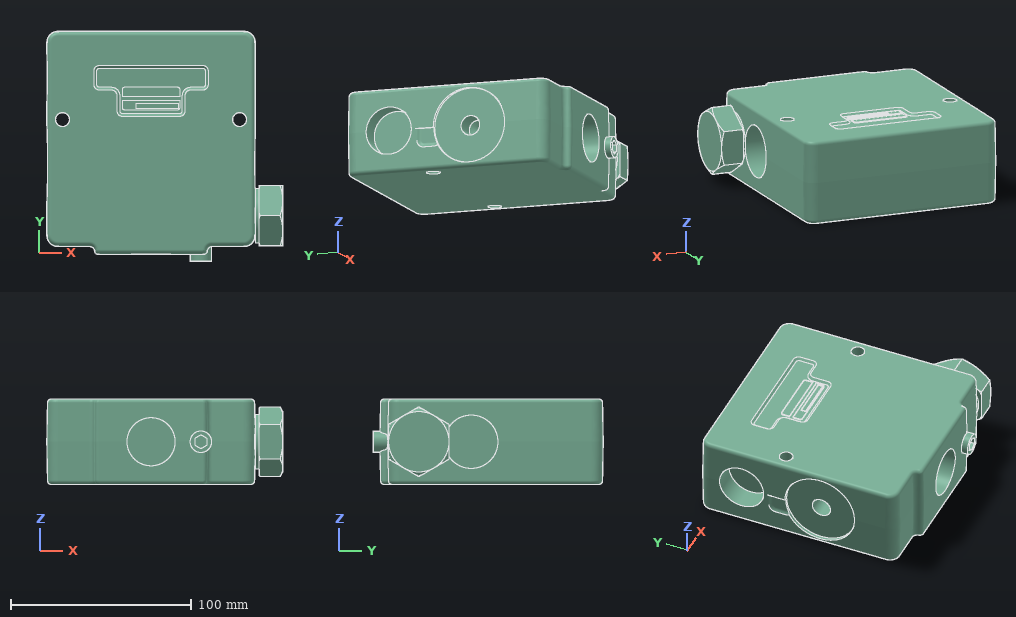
import cadquery as cq
import math


BODY_WIDTH = 115.7
BODY_DEPTH = 119.5
BODY_HEIGHT = 47.6
DRAFT_ANGLE = 1.0
CORNER_RADIUS = 6.4
EDGE_FILLET = 2.4
BOSS_WIDTH = 62.8
BOSS_STEP = 4.5
BOSS_SIDE_RUN = 5.0

MOUNT_DIAMETER = 7.6
MOUNT_OFFSET = 49.0
MOUNT_Y = 10.7

PORT_DIAMETER = 26.7
SIDE_PORT_DEPTH = 13.1
FRONT_PORT_DEPTH = 17.5
SIDE_PORT_Y = 33.9

SPOOL_Y = -13.5
SPOTFACE_DIAMETER = 42.1
SPOTFACE_DEPTH = 2.4
DRILL_DIAMETER = 11.0
DRILL_DEPTH = 13.1
DRILL_POINT_ANGLE = 118.0
SPOOL_OPENING_DIAMETER = 29.6

SIDE_POCKET_WIDTH = 13.9
SIDE_POCKET_HEIGHT = 10.9
SIDE_POCKET_BACK_Y = 17.3
SIDE_POCKET_CORNER = 3.9
SIDE_POCKET_DEPTH = 1.0
SIDE_POCKET_WALL_RUN = 1.6
SIDE_POCKET_BLEND = 2.7

LABEL_WIDTH = 63.5
LABEL_BACK_Y = 40.7
LABEL_HEIGHT = 13.6
LABEL_TAB_WIDTH = 37.7
LABEL_TAB_FRONT_Y = 12.4
LABEL_CORNER = 3.1
LABEL_DEPTH = 1.3
LABEL_WALL_RUN = 1.6
PLATE_WIDTH = 31.9
PLATE_HEIGHT = 12.5
PLATE_BACK_Y = 28.7
PLATE_CORNER = 1.3
PLATE_RAISE = 0.5
STRIP_HEIGHT = 2.1
STRIP_Y = 22.4
SERIAL_WIDTH = 23.7
SERIAL_HEIGHT = 2.7
SERIAL_X = 3.4
SERIAL_Y = 18.3

PLUG_Y = -42.5
PLUG_END_X = 73.0
HEX_FLATS = 33.5
HEX_LENGTH = 13.1
HEX_CHAMFER_ANGLE = 30.0
HEX_BACK_FACE_RADIUS = 18.6
COLLAR_DIAMETER = 30.4
SHANK_DIAMETER = PORT_DIAMETER
SHANK_LENGTH = 13.1

SCREW_X = 27.6
SCREW_DIAMETER = 11.9
SCREW_PROTRUSION = 3.7
SCREW_INSERTION = 13.1
SOCKET_FLATS = 6.7
SOCKET_DEPTH = 5.2

SIDE_X = BODY_WIDTH / 2
BACK_Y = BODY_DEPTH / 2
FRONT_Y = -BACK_Y
BOSS_Y = FRONT_Y - BOSS_STEP
TOP_Z = BODY_HEIGHT / 2
SCREW_LENGTH = SCREW_PROTRUSION + SCREW_INSERTION


def rod_x(start_x, y, diameter, length):
    """Round rod running toward +X from start_x, on the parting plane."""
    plane = cq.Plane(origin=(start_x, y, 0), xDir=(0, 1, 0), normal=(1, 0, 0))
    return cq.Workplane(plane).circle(diameter / 2).extrude(length)


def rod_y(x, start_y, diameter, length):
    """Round rod running toward +Y from start_y, on the parting plane."""
    plane = cq.Plane(origin=(x, start_y, 0), xDir=(1, 0, 0), normal=(0, 1, 0))
    return cq.Workplane(plane).circle(diameter / 2).extrude(length)


def hex_corners(flats):
    """Across-corners size of a hexagon, from its across-flats size."""
    return flats / math.cos(math.pi / 6)


def taper_for(run, depth):
    """Draft angle of a wall that moves sideways by run over depth."""
    return math.degrees(math.atan2(run, depth))


def body_outline():
    """Rounded block with a front boss joined by S-shaped sides, each of two equal tangent arcs."""
    r = CORNER_RADIUS
    half_run = BOSS_SIDE_RUN / 2
    middle_x = BOSS_WIDTH / 2
    middle_y = FRONT_Y - BOSS_STEP / 2
    foot_x = middle_x + half_run
    brow_x = middle_x - half_run
    return (
        cq.Workplane("XY")
        .moveTo(-SIDE_X + r, BACK_Y)
        .lineTo(SIDE_X - r, BACK_Y)
        .tangentArcPoint((SIDE_X, BACK_Y - r), relative=False)
        .lineTo(SIDE_X, FRONT_Y + r)
        .tangentArcPoint((SIDE_X - r, FRONT_Y), relative=False)
        .lineTo(foot_x, FRONT_Y)
        .tangentArcPoint((middle_x, middle_y), relative=False)
        .tangentArcPoint((brow_x, BOSS_Y), relative=False)
        .lineTo(-brow_x, BOSS_Y)
        .tangentArcPoint((-middle_x, middle_y), relative=False)
        .tangentArcPoint((-foot_x, FRONT_Y), relative=False)
        .lineTo(-SIDE_X + r, FRONT_Y)
        .tangentArcPoint((-SIDE_X, FRONT_Y + r), relative=False)
        .lineTo(-SIDE_X, BACK_Y - r)
        .tangentArcPoint((-SIDE_X + r, BACK_Y), relative=False)
        .close()
    )


def body_block():
    """Two mirrored drafted halves with rounded rims."""
    upper = body_outline().extrude(TOP_Z, taper=DRAFT_ANGLE)
    upper = upper.faces(">Z").edges().fillet(EDGE_FILLET)
    return upper.union(upper.mirror("XY"))


def mounting_holes():
    return (
        cq.Workplane("XY", origin=(0, MOUNT_Y, -TOP_Z))
        .pushPoints([(-MOUNT_OFFSET, 0), (MOUNT_OFFSET, 0)])
        .circle(MOUNT_DIAMETER / 2)
        .extrude(BODY_HEIGHT)
    )


def ports():
    side = rod_x(-SIDE_X, SIDE_PORT_Y, PORT_DIAMETER, SIDE_PORT_DEPTH)
    front = rod_y(0, BOSS_Y, PORT_DIAMETER, FRONT_PORT_DEPTH)
    return side.union(front)


def spool_cuts():
    """Spotface with a pointed drilled hole, and the opening at the far end of the same axis."""
    radius = DRILL_DIAMETER / 2
    floor_x = -SIDE_X + SPOTFACE_DEPTH
    point_length = radius / math.tan(math.radians(DRILL_POINT_ANGLE / 2))
    drill = (
        cq.Workplane("XY", origin=(floor_x, SPOOL_Y, 0))
        .polyline([(0, 0), (0, radius), (DRILL_DEPTH, radius), (DRILL_DEPTH + point_length, 0)])
        .close()
        .revolve(360, (0, 0, 0), (1, 0, 0))
    )
    spotface = rod_x(-SIDE_X, SPOOL_Y, SPOTFACE_DIAMETER, SPOTFACE_DEPTH)
    opening = rod_x(SIDE_X - SIDE_PORT_DEPTH, SPOOL_Y, SPOOL_OPENING_DIAMETER, SIDE_PORT_DEPTH)
    return spotface.union(drill).union(opening)


def side_pocket():
    """Shallow S-walled pocket whose upper edge is the parting line.

    It is formed symmetrically in a plain slab, whose rim can be rounded, and the lower half is kept.
    """
    centre_y = SIDE_POCKET_BACK_Y - SIDE_POCKET_WIDTH / 2
    plane = cq.Plane(origin=(-SIDE_X, centre_y, 0), xDir=(0, 1, 0), normal=(1, 0, 0))
    outline = cq.Sketch().rect(SIDE_POCKET_WIDTH, 2 * SIDE_POCKET_HEIGHT)
    outline = outline.vertices().fillet(SIDE_POCKET_CORNER)
    taper = taper_for(SIDE_POCKET_WALL_RUN, SIDE_POCKET_DEPTH)
    sharp = cq.Workplane(plane).placeSketch(outline).extrude(SIDE_POCKET_DEPTH, taper=taper)
    recess = sharp.faces(">X").edges().fillet(SIDE_POCKET_BLEND)

    slab_size = 2 * SIDE_POCKET_WIDTH
    slab_thickness = 3 * SIDE_POCKET_DEPTH
    slab = cq.Workplane(plane).rect(slab_size, BODY_HEIGHT).extrude(slab_thickness)
    recessed_slab = slab.cut(recess)
    rim_edges = recessed_slab.faces("<X").val().innerWires()[0].Edges()
    blended_slab = recessed_slab.newObject(rim_edges).fillet(SIDE_POCKET_BLEND)
    lower_plane = cq.Plane(origin=(-SIDE_X, centre_y, -TOP_Z / 2), xDir=(0, 1, 0), normal=(1, 0, 0))
    lower_slab = cq.Workplane(lower_plane).rect(slab_size, TOP_Z).extrude(slab_thickness)
    return lower_slab.cut(blended_slab)


def label_pocket():
    """T-shaped pocket with sloping walls, sunk into the top face."""
    bar_y = LABEL_BACK_Y - LABEL_HEIGHT / 2
    tab_height = LABEL_BACK_Y - LABEL_TAB_FRONT_Y
    tab_y = LABEL_BACK_Y - tab_height / 2
    outline = (
        cq.Sketch()
        .push([(0, -bar_y)]).rect(LABEL_WIDTH, LABEL_HEIGHT)
        .push([(0, -tab_y)]).rect(LABEL_TAB_WIDTH, tab_height)
        .reset().clean()
        .vertices().fillet(LABEL_CORNER)
    )
    downward = cq.Plane(origin=(0, 0, TOP_Z), xDir=(1, 0, 0), normal=(0, 0, -1))
    taper = taper_for(LABEL_WALL_RUN, LABEL_DEPTH)
    return cq.Workplane(downward).placeSketch(outline).extrude(LABEL_DEPTH, taper=taper)


def nameplate():
    """Raised plate on the label pocket floor, with a blank strip and a serial number box sunk in it."""
    plate_y = PLATE_BACK_Y - PLATE_HEIGHT / 2
    floor = cq.Workplane("XY", origin=(0, 0, TOP_Z - LABEL_DEPTH))
    plate = floor.center(0, plate_y).rect(PLATE_WIDTH, PLATE_HEIGHT).extrude(PLATE_RAISE)
    plate = plate.edges("|Z").fillet(PLATE_CORNER)
    strip = floor.center(0, STRIP_Y).rect(PLATE_WIDTH, STRIP_HEIGHT).extrude(PLATE_RAISE)
    serial_box = floor.center(SERIAL_X, SERIAL_Y).rect(SERIAL_WIDTH, SERIAL_HEIGHT).extrude(PLATE_RAISE)
    return plate.cut(strip).cut(serial_box)


def plug_shank():
    return rod_x(SIDE_X - SHANK_LENGTH, PLUG_Y, SHANK_DIAMETER, SHANK_LENGTH)


def screw_shank():
    return rod_y(SCREW_X, BOSS_Y - SCREW_PROTRUSION, SCREW_DIAMETER, SCREW_LENGTH)


def make_housing():
    housing = body_block()
    for cutter in (mounting_holes(), ports(), spool_cuts(), side_pocket(), label_pocket()):
        housing = housing.cut(cutter)
    housing = housing.union(nameplate())
    return housing.cut(plug_shank()).cut(screw_shank())


def make_hex_head():
    """Hexagon with two faces square to Y and both ends chamfered by a turned profile."""
    start_x = PLUG_END_X - HEX_LENGTH
    plane = cq.Plane(origin=(start_x, PLUG_Y, 0), xDir=(0, 0, 1), normal=(1, 0, 0))
    prism = cq.Workplane(plane).polygon(6, hex_corners(HEX_FLATS)).extrude(HEX_LENGTH)
    slope = math.tan(math.radians(HEX_CHAMFER_ANGLE))
    corner_radius = hex_corners(HEX_FLATS) / 2
    end_radius = HEX_FLATS / 2
    back_chamfer = (corner_radius - HEX_BACK_FACE_RADIUS) * slope
    end_chamfer = (corner_radius - end_radius) * slope
    turned = (
        cq.Workplane("XY", origin=(start_x, PLUG_Y, 0))
        .polyline([
            (0, 0),
            (0, HEX_BACK_FACE_RADIUS),
            (back_chamfer, corner_radius),
            (HEX_LENGTH - end_chamfer, corner_radius),
            (HEX_LENGTH, end_radius),
            (HEX_LENGTH, 0),
        ])
        .close()
        .revolve(360, (0, 0, 0), (1, 0, 0))
    )
    return prism.intersect(turned)


def make_plug():
    """Hex head, round collar against the housing side, and a shank in the housing."""
    collar_length = PLUG_END_X - HEX_LENGTH - SIDE_X
    collar = rod_x(SIDE_X, PLUG_Y, COLLAR_DIAMETER, collar_length)
    return make_hex_head().union(collar).union(plug_shank())


def make_set_screw():
    """Round screw with a hexagon socket in its outer end."""
    end_y = BOSS_Y - SCREW_PROTRUSION
    plane = cq.Plane(origin=(SCREW_X, end_y, 0), xDir=(0, 0, 1), normal=(0, 1, 0))
    socket = cq.Workplane(plane).polygon(6, hex_corners(SOCKET_FLATS)).extrude(SOCKET_DEPTH)
    return screw_shank().cut(socket)


housing = make_housing()
plug = make_plug()
set_screw = make_set_screw()

result = cq.Compound.makeCompound([housing.val(), plug.val(), set_screw.val()])